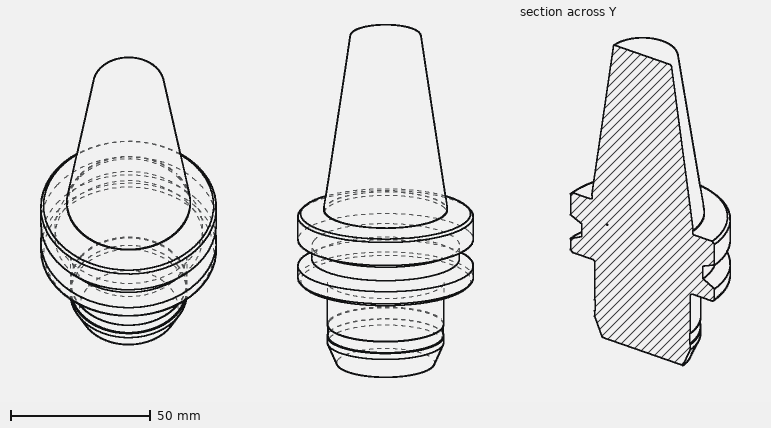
import cadquery as cq
import math

total_height = 123.4
nose_cone_top = 7.8
band_bottom = 10.0
band_top = 14.5
flange_bottom = 31.0
groove_lower_edge = 36.5
groove_floor_bottom = 39.1
groove_floor_top = 44.2
groove_upper_edge = 46.4
flange_top = 56.0
collar_fillet_top = 56.8
collar_lip_bottom = 57.5
gauge_plane = 58.0

flange_radius = 63.0 / 2
groove_radius = 26.5
body_radius = 21.0
band_radius = 20.7
nose_radius = 17.6
gauge_radius = 22.2
collar_radius = 22.0

taper_slope = 7 / 24 / 2
shank_top_radius = gauge_radius - taper_slope * (total_height - gauge_plane)

flange_edge_chamfer = 1.0
band_step = body_radius - band_radius
neck_fillet = 0.7
collar_fillet = collar_fillet_top - flange_top
shank_top_fillet = 0.9


def cylinder(radius, bottom, top):
    """Cylinder about Z between two heights."""
    return cq.Workplane("XY").workplane(offset=bottom).circle(radius).extrude(top - bottom)


def revolve_profile(points):
    """Closed (radius, height) outline revolved about Z."""
    return cq.Workplane("XZ").polyline(points).close().revolve(360, (0, 0), (0, 1))


def root_fillet(radius, face_height, rise):
    """Disc whose rim is a concave quarter arc; a negative rise hangs it below the face."""
    size = abs(rise)
    arc_offset = size * (1 - math.sqrt(0.5))
    direction = math.copysign(1, rise)
    return (
        cq.Workplane("XZ")
        .moveTo(0, face_height + rise)
        .lineTo(radius, face_height + rise)
        .threePointArc(
            (radius + arc_offset, face_height + direction * arc_offset),
            (radius + size, face_height),
        )
        .lineTo(0, face_height)
        .close()
        .revolve(360, (0, 0), (0, 1))
    )


shank = revolve_profile([
    (0, flange_top),
    (collar_radius, flange_top),
    (collar_radius, collar_lip_bottom),
    (gauge_radius, collar_lip_bottom),
    (gauge_radius, gauge_plane),
    (shank_top_radius, total_height),
    (0, total_height),
]).faces(">Z").edges().fillet(shank_top_fillet)

flange = cylinder(flange_radius, flange_bottom, flange_top)
flange = flange.faces("<Z or >Z").edges().chamfer(flange_edge_chamfer)
gripper_groove = cylinder(flange_radius, groove_lower_edge, groove_upper_edge).cut(
    revolve_profile([
        (0, groove_lower_edge),
        (flange_radius, groove_lower_edge),
        (groove_radius, groove_floor_bottom),
        (groove_radius, groove_floor_top),
        (flange_radius, groove_upper_edge),
        (0, groove_upper_edge),
    ])
)
flange = flange.cut(gripper_groove)

body = revolve_profile([
    (0, 0),
    (nose_radius, 0),
    (body_radius, nose_cone_top),
    (body_radius, band_bottom),
    (band_radius, band_bottom + band_step),
    (band_radius, band_top - band_step),
    (body_radius, band_top),
    (body_radius, flange_bottom),
    (0, flange_bottom),
])

neck = root_fillet(body_radius, flange_bottom, -neck_fillet)
collar_root = root_fillet(collar_radius, flange_top, collar_fillet)

result = body.union(neck).union(flange).union(collar_root).union(shank)